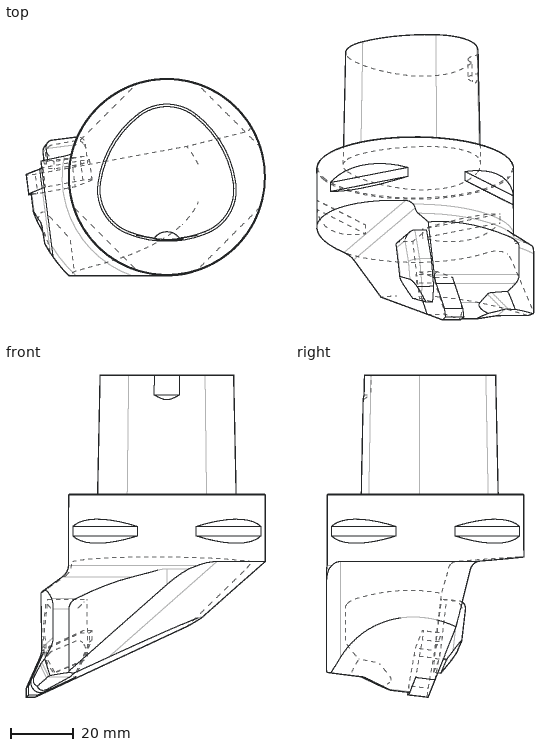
import cadquery as cq
import math


FLANGE_R = 31.5
FLANGE_H = 21.6
FLANGE_CHAMFER = 0.3
GROOVE_Z = -11.9
GROOVE_FLOOR_R = 27.9
GROOVE_FLOOR_W = 3.0
GROOVE_MOUTH_W = 7.7
GROOVE_COUNT = 4
GROOVE_START_ANGLE = 45.0
CUT_MARGIN = 1.0

SHANK_H = 38.0
LOBE_COUNT = 3
LOBE_HALF_ANGLE = 25.0
TOP_LOBE_R = 22.5
TOP_JOINT_R = 21.3
TOP_WAIST_R = 19.8
LOBE_TAPER = 0.8
KEY_R = 4.9
KEY_Y = -22.4
KEY_DEPTH = 6.3
KEY_TIP_H = 3.1

NECK_Z = -22.8
CONE_TOP_R = 33.5
CONE_TOP_Z = -26.5
CONE_END_R = 42.9
CONE_END_Z = -33.4
HEAD_R = 44.5
RIM_END_Z = -36.8
HEAD_BOTTOM_Z = -75.0
FLAT_Y = -31.65

UNDERSIDE_SLOPE = 0.883
UNDERSIDE_TANGENT_ANGLE = -59.5

FAR = 80.0

TIP = (-44.96, 0.5, -65.0)
RAKE_SLOPE_X = 0.128
RAKE_SLOPE_Z = 0.12
RAKE_PLANE = cq.Plane(
    origin=TIP,
    xDir=(1, RAKE_SLOPE_X, 0),
    normal=(RAKE_SLOPE_X, -1, RAKE_SLOPE_Z),
)

INSERT_T = 6.3
INSERT_EDGE = 13.4
INSERT_EDGE_ANGLE = 24.8
INSERT_NOSE_FLAT = 2.9

SIDE_FACE_X = 5.2
SEAT_NOSE_R = 3.1
SIDE_FILLET_R = 7.5

RELIEF_START_DEPTH = 10.0
RELIEF_FULL_DEPTH = 22.5
RELIEF_HEIGHT = 3.9

SHELF_Y = 43.6
SHELF_TILT = 0.2
SHELF_FILLET_R = 3.0

PAD_H = 6.8
PAD_FILLET_R = 2.8
PAD_BEVEL_ALONG = 7.0
PAD_BEVEL_DOWN = 4.5
PAD_OUTLINE = [(7.4, 31.5), (6.2, 21.5), (6.9, 12.5), (9.3, 8.0), (20.0, 12.5), (20.0, 31.5)]

NOTCH_START = (-40.2, -14.7, -54.0)
NOTCH_RUN = (2.8, -7.7, -5.8)
NOTCH_UPPER_WALL = (1.8, -8.2, -0.4)
NOTCH_LOWER_WALL = (-1.7, 2.3, -4.3)
NOTCH_REACH = 3.0
NOTCH_ROOT_R = 4.0


def polar(radius, angle):
    """A point at a radius and an angle in degrees."""
    return (radius * math.cos(math.radians(angle)), radius * math.sin(math.radians(angle)))


def lobed_wire(z, growth):
    """Three lobe arcs joined by three flatter arcs; one lobe points along +Y."""
    joint_r = TOP_JOINT_R + growth
    pitch = 360.0 / LOBE_COUNT
    wire = cq.Workplane("XY", origin=(0, 0, z)).moveTo(*polar(joint_r, 90 - LOBE_HALF_ANGLE))
    for index in range(LOBE_COUNT):
        lobe = 90 + index * pitch
        wire = wire.threePointArc(
            polar(TOP_LOBE_R + growth, lobe),
            polar(joint_r, lobe + LOBE_HALF_ANGLE),
        )
        wire = wire.threePointArc(
            polar(TOP_WAIST_R + growth, lobe + pitch / 2),
            polar(joint_r, lobe + pitch - LOBE_HALF_ANGLE),
        )
    return wire.close().val()


def make_shank():
    """Lofted taper with a cone-bottomed key slot in the waist facing -Y."""
    shank = cq.Workplane(cq.Solid.makeLoft([lobed_wire(0, LOBE_TAPER), lobed_wire(SHANK_H, 0)], True))
    key_bottom = SHANK_H - KEY_DEPTH
    key = (
        cq.Workplane("XZ", origin=(0, KEY_Y, 0))
        .moveTo(0, SHANK_H)
        .lineTo(KEY_R, SHANK_H)
        .lineTo(KEY_R, key_bottom)
        .lineTo(0, key_bottom - KEY_TIP_H)
        .close()
        .revolve(360, (0, 0, 0), (0, 1, 0))
    )
    return shank.cut(key)


def make_flange():
    """Disc with straight tapered grooves cut across its rim."""
    flange = cq.Workplane("XY").circle(FLANGE_R).extrude(-FLANGE_H)
    flange = flange.faces(">Z").chamfer(FLANGE_CHAMFER)
    slope = (GROOVE_MOUTH_W - GROOVE_FLOOR_W) / 2 / (FLANGE_R - GROOVE_FLOOR_R)
    outer_r = FLANGE_R + CUT_MARGIN
    outer_half = GROOVE_FLOOR_W / 2 + slope * (outer_r - GROOVE_FLOOR_R)
    groove = (
        cq.Workplane("XZ", origin=(0, 0, GROOVE_Z))
        .polyline([
            (GROOVE_FLOOR_R, -GROOVE_FLOOR_W / 2),
            (outer_r, -outer_half),
            (outer_r, outer_half),
            (GROOVE_FLOOR_R, GROOVE_FLOOR_W / 2),
        ])
        .close()
        .extrude(FLANGE_R, both=True)
    )
    for index in range(GROOVE_COUNT):
        angle = GROOVE_START_ANGLE + index * 360 / GROOVE_COUNT
        flange = flange.cut(groove.rotate((0, 0, 0), (0, 0, 1), angle))
    return flange


def turned_head():
    """Neck fillet, cone, rounded rim and cylinder, limited to the flat side and the flange radius."""
    blank = (
        cq.Workplane("XZ")
        .moveTo(0, -FLANGE_H)
        .lineTo(FLANGE_R, -FLANGE_H)
        .lineTo(FLANGE_R, NECK_Z)
        .tangentArcPoint((CONE_TOP_R, CONE_TOP_Z), relative=False)
        .lineTo(CONE_END_R, CONE_END_Z)
        .tangentArcPoint((HEAD_R, RIM_END_Z), relative=False)
        .lineTo(HEAD_R, HEAD_BOTTOM_Z)
        .lineTo(0, HEAD_BOTTOM_Z)
        .close()
        .revolve(360, (0, 0, 0), (0, 1, 0))
    )
    left_half = cq.Workplane("XY").center(-FAR / 2, 0).rect(FAR, -2 * FLAT_Y).extrude(HEAD_BOTTOM_Z)
    right_half = cq.Workplane("XY").circle(-FLAT_Y).extrude(HEAD_BOTTOM_Z)
    return blank.intersect(left_half.union(right_half))


def underside_prism():
    """The flange rim and its tangent, extruded obliquely: all material above the steep underside."""
    tangent_point = polar(FLANGE_R, UNDERSIDE_TANGENT_ANGLE)
    along = polar(FAR, UNDERSIDE_TANGENT_ANGLE - 90)
    tangent_end = (tangent_point[0] + along[0], tangent_point[1] + along[1])
    footprint = (
        cq.Workplane("XY", origin=(0, 0, -FLANGE_H))
        .moveTo(*tangent_end)
        .lineTo(*tangent_point)
        .threePointArc((FLANGE_R, 0), (0, FLANGE_R))
        .lineTo(-FAR, FLANGE_R)
        .lineTo(-FAR, tangent_end[1])
        .close()
        .val()
    )
    sweep = cq.Vector(-FAR, 0, -FAR * UNDERSIDE_SLOPE)
    return cq.Workplane(cq.Solid.extrudeLinear(footprint, [], sweep))


def insert_corners():
    """Point-symmetric outline: a flattened nose at the tip and its twin at the far end."""
    lower = polar(INSERT_EDGE, INSERT_EDGE_ANGLE)
    low = (INSERT_NOSE_FLAT + lower[0], lower[1])
    side = (low[1], low[0])
    far = low[0] + low[1]
    return [
        (0, 0),
        (INSERT_NOSE_FLAT, 0),
        low,
        (far, far - INSERT_NOSE_FLAT),
        (far, far),
        (far - INSERT_NOSE_FLAT, far),
        side,
        (0, INSERT_NOSE_FLAT),
    ]


def make_insert():
    """Flat plate set into the rake face, flush with it."""
    return cq.Workplane(RAKE_PLANE).polyline(insert_corners()).close().extrude(INSERT_T)


def edge_near(rake_point):
    """Selects the edge closest to a point of the rake face."""
    return cq.selectors.NearestToPointSelector(RAKE_PLANE.toWorldCoords(rake_point).toTuple())


def head_outline_prism():
    """Side face, seat flank, seat nose and shallow underside, all square to the rake face."""
    rise = math.tan(math.radians(INSERT_EDGE_ANGLE))
    corner = -INSERT_NOSE_FLAT * rise / (1 - rise)
    nose = (corner, corner)
    bend = (SIDE_FACE_X, corner + (SIDE_FACE_X - corner) / rise)
    run = polar(2 * FAR, INSERT_EDGE_ANGLE)
    outline = [
        (corner + run[0], corner + run[1]),
        nose,
        bend,
        (SIDE_FACE_X, FAR),
    ]
    prism = cq.Workplane(RAKE_PLANE).polyline(outline).close().extrude(FAR, both=True)
    prism = prism.edges(edge_near(nose)).fillet(SEAT_NOSE_R)
    return prism.edges(edge_near(bend)).fillet(SIDE_FILLET_R)


def side_profile(points):
    """A bar along the rake frame's x axis; points give depth below the rake face and height."""
    side_plane = cq.Plane(
        origin=TIP,
        xDir=RAKE_PLANE.zDir.toTuple(),
        normal=(-RAKE_PLANE.xDir).toTuple(),
    )
    return cq.Workplane(side_plane).polyline(points).close().extrude(2 * FAR, both=True)


def rake_clearance():
    """Everything in front of the rake face and below the shelf, with a rounded inner corner."""
    space = side_profile([
        (0, -FAR),
        (-FAR, -FAR),
        (-FAR, SHELF_Y + SHELF_TILT * FAR),
        (0, SHELF_Y),
    ])
    return space.edges(edge_near((0, SHELF_Y))).fillet(SHELF_FILLET_R)


def relief():
    """Ramp that lifts the bottom of the head behind the seat, then runs square to the rake face."""
    return side_profile([
        (RELIEF_START_DEPTH, 0),
        (RELIEF_FULL_DEPTH, RELIEF_HEIGHT),
        (FAR, RELIEF_HEIGHT),
        (FAR, -FAR),
        (RELIEF_START_DEPTH, -FAR),
    ])


def make_pad():
    """Rounded pad beside the cutting edge, bevelled along its lower side."""
    pad = cq.Workplane(RAKE_PLANE).polyline(PAD_OUTLINE).close().extrude(-PAD_H)
    pad = pad.faces(">Y").edges().fillet(PAD_FILLET_R)
    start, end = [RAKE_PLANE.toWorldCoords(point) for point in PAD_OUTLINE[3:5]]
    bevel_plane = cq.Plane(origin=start, xDir=-RAKE_PLANE.zDir, normal=end - start)
    bevel = (
        cq.Workplane(bevel_plane)
        .polyline([
            (PAD_H - PAD_BEVEL_DOWN, 0),
            (PAD_H, PAD_BEVEL_ALONG),
            (2 * PAD_H, PAD_BEVEL_ALONG),
            (2 * PAD_H, -PAD_BEVEL_ALONG),
            (PAD_H - PAD_BEVEL_DOWN, -PAD_BEVEL_ALONG),
        ])
        .close()
        .extrude(FAR, both=True)
    )
    return pad.cut(bevel)


def make_notch():
    """V groove cut obliquely from the seat flank down through the underside."""
    run = cq.Vector(*NOTCH_RUN)
    root = cq.Vector(*NOTCH_START) - run
    section = cq.Wire.makePolygon(
        [
            root,
            root + cq.Vector(*NOTCH_UPPER_WALL) * NOTCH_REACH,
            root + cq.Vector(*NOTCH_LOWER_WALL) * NOTCH_REACH,
        ],
        close=True,
    )
    notch = cq.Workplane(cq.Solid.extrudeLinear(section, [], run * NOTCH_REACH))
    root_middle = root + run * (NOTCH_REACH / 2)
    return notch.edges(cq.selectors.NearestToPointSelector(root_middle.toTuple())).fillet(NOTCH_ROOT_R)


insert = make_insert()
head = turned_head().intersect(underside_prism()).intersect(head_outline_prism())
head = head.cut(relief()).cut(make_notch())
holder = make_flange().union(head).cut(rake_clearance()).union(make_shank())
holder = holder.union(make_pad()).cut(insert)

result = cq.Compound.makeCompound([*holder.vals(), insert.val()])